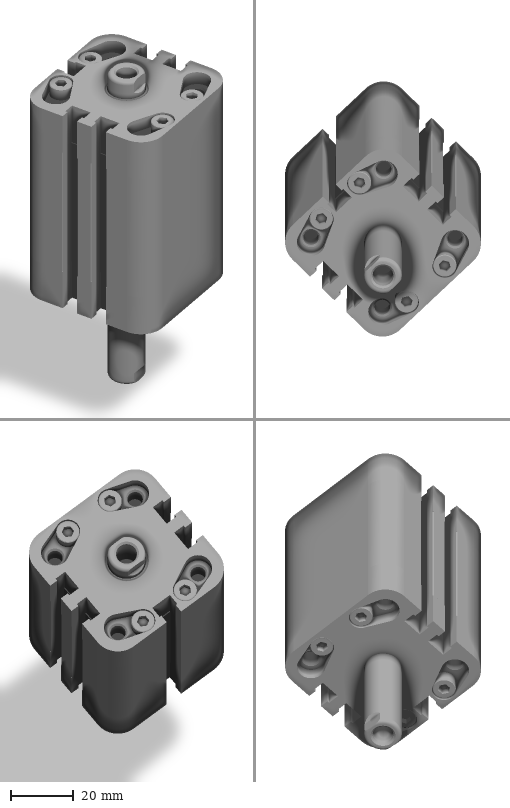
import cadquery as cq
import math

TOTAL_LENGTH = 117.0
SIDE = 49.0
CORNER_RADIUS = 8.2

TOP_STUB = 6.4
CAP_HEIGHT = 14.2
BARREL_LENGTH = 45.7

SLOT_OFFSET = 5.5
SLOT_MOUTH = 5.5
SLOT_INNER = 7.1
SLOT_LIP = 2.8
CAP_SLOT_DEPTH = 6.7
BARREL_SLOT_DEPTH = 6.3
SIDE_SLOT_MOUTH = 5.8
MOUTH_CHAMFER = 0.29

ROD_DIAMETER = 12.0
ROD_EDGE_ROUND = 1.3
ROD_HOLE_DIAMETER = 6.7
ROD_HOLE_RIM = 8.0
ROD_HOLE_DEPTH = 14.0
FLATS_WIDTH = 10.1
FLATS_LENGTH = 4.3

WIPER_INNER_DIAMETER = 12.5
WIPER_OUTER_DIAMETER = 13.7
WIPER_LIP_CHAMFER = 0.29
WIPER_SEAT_RIM = 14.3
WIPER_SEAT_DEPTH = 2.3

MOUNT_OFFSET = 16.3
MOUNT_DIAMETER = 4.9
MOUNT_RIM = 6.1
MOUNT_DEPTH = 7.0
POCKET_DIAMETER = 9.0
POCKET_DEPTH = 4.6
SCREW_X = 19.4
SCREW_Y = 8.5
SCREW_SEAT_DIAMETER = 7.8
SCREW_HEAD_DIAMETER = 7.5
SCREW_HEAD_HEIGHT = 4.1
SCREW_HEAD_CHAMFER = 0.2
HEX_CORNERS = 4.0
HEX_DEPTH = 2.3
FRONT_SOCKET_TURN = 30.0

ROD_TOP = TOTAL_LENGTH
CAP_TOP = ROD_TOP - TOP_STUB
BARREL_TOP = CAP_TOP - CAP_HEIGHT
BARREL_BOTTOM = BARREL_TOP - BARREL_LENGTH
HALF_SIDE = SIDE / 2
CORNER_SIGNS = [(sx, sy) for sx in (-1, 1) for sy in (-1, 1)]


def slot_cutter(mouth, depth, height, chamfer=0.0):
    """T-slot opening toward -Y at y = -HALF_SIDE, running up from z = 0."""
    cutter = cq.Workplane("XY").box(mouth, SLOT_LIP, height, centered=(True, False, False))
    chamber = (
        cq.Workplane("XY")
        .box(SLOT_INNER, depth - SLOT_LIP, height, centered=(True, False, False))
        .translate((0, SLOT_LIP, 0))
    )
    cutter = cutter.union(chamber)
    if chamfer:
        half = mouth / 2
        flare = (
            cq.Workplane("XY")
            .polyline([(-half - chamfer, 0), (half + chamfer, 0), (half, chamfer), (-half, chamfer)])
            .close()
            .extrude(height)
        )
        cutter = cutter.union(flare)
    return cutter.translate((0, -HALF_SIDE, 0))


def slotted_block(height, depth, chamfer=0.0):
    """Rounded square block with its five T-slots, standing on z = 0."""
    block = cq.Workplane("XY").box(SIDE, SIDE, height, centered=(True, True, False))
    block = block.edges("|Z").fillet(CORNER_RADIUS)
    paired_slot = slot_cutter(SLOT_MOUTH, depth, height, chamfer)
    for x in (-SLOT_OFFSET, SLOT_OFFSET):
        front_slot = paired_slot.translate((x, 0, 0))
        block = block.cut(front_slot).cut(front_slot.mirror("XZ"))
    side_slot = slot_cutter(SIDE_SLOT_MOUTH, depth, height)
    return block.cut(side_slot.rotate((0, 0, 0), (0, 0, 1), -90))


def make_barrel():
    barrel = slotted_block(BARREL_LENGTH, BARREL_SLOT_DEPTH, MOUTH_CHAMFER)
    passage = cq.Workplane("XY").circle(ROD_DIAMETER / 2).extrude(BARREL_LENGTH)
    return barrel.cut(passage).translate((0, 0, BARREL_BOTTOM))


def cone(small_diameter, large_diameter, z_top):
    """45-degree countersink widening upward to z_top."""
    height = (large_diameter - small_diameter) / 2
    return cq.Workplane(
        cq.Solid.makeCone(small_diameter / 2, large_diameter / 2, height, cq.Vector(0, 0, z_top - height))
    )


def corner_pocket_cutter():
    """Pocket with mounting hole and screw seat, in the +X +Y corner."""
    floor = CAP_HEIGHT - POCKET_DEPTH
    mount_radius = POCKET_DIAMETER / 2
    screw_radius = SCREW_SEAT_DIAMETER / 2
    span = math.hypot(SCREW_X - MOUNT_OFFSET, SCREW_Y - MOUNT_OFFSET)
    direction = math.atan2(SCREW_Y - MOUNT_OFFSET, SCREW_X - MOUNT_OFFSET)
    tangent_turn = math.acos((mount_radius - screw_radius) / span)

    def on_circle(x, y, radius, turn):
        return (x + radius * math.cos(direction + turn), y + radius * math.sin(direction + turn))

    def on_mount_end(turn):
        return on_circle(MOUNT_OFFSET, MOUNT_OFFSET, mount_radius, turn)

    def on_screw_end(turn):
        return on_circle(SCREW_X, SCREW_Y, screw_radius, turn)

    pocket = (
        cq.Workplane("XY")
        .moveTo(*on_screw_end(-tangent_turn))
        .threePointArc(on_screw_end(0), on_screw_end(tangent_turn))
        .lineTo(*on_mount_end(tangent_turn))
        .threePointArc(on_mount_end(math.pi), on_mount_end(-tangent_turn))
        .close()
        .extrude(POCKET_DEPTH)
        .translate((0, 0, floor))
    )
    hole = cq.Workplane("XY").circle(MOUNT_DIAMETER / 2).extrude(MOUNT_DEPTH)
    hole = hole.translate((0, 0, floor - MOUNT_DEPTH)).union(cone(MOUNT_DIAMETER, MOUNT_RIM, floor))
    return pocket.union(hole.translate((MOUNT_OFFSET, MOUNT_OFFSET, 0)))


def screw_head(socket_turn):
    """Socket screw head on the pocket floor, in the +X +Y corner."""
    head = (
        cq.Workplane("XY")
        .circle(SCREW_HEAD_DIAMETER / 2)
        .extrude(SCREW_HEAD_HEIGHT)
        .faces(">Z")
        .chamfer(SCREW_HEAD_CHAMFER)
        .faces(">Z")
        .workplane()
        .polygon(6, HEX_CORNERS)
        .cutBlind(-HEX_DEPTH)
    )
    head = head.rotate((0, 0, 0), (0, 0, 1), socket_turn)
    return head.translate((SCREW_X, SCREW_Y, CAP_HEIGHT - POCKET_DEPTH))


def in_corner(shape, sx, sy):
    """Mirror a +X +Y corner shape into the corner with the given signs."""
    if sx < 0:
        shape = shape.mirror("YZ")
    if sy < 0:
        shape = shape.mirror("XZ")
    return shape


def wiper_seat_cutter():
    """Round seat with a countersunk rim in the outer face of a cap."""
    seat = (
        cq.Workplane("XY")
        .circle(WIPER_OUTER_DIAMETER / 2)
        .extrude(WIPER_SEAT_DEPTH)
        .translate((0, 0, CAP_HEIGHT - WIPER_SEAT_DEPTH))
    )
    return seat.union(cone(WIPER_OUTER_DIAMETER, WIPER_SEAT_RIM, CAP_HEIGHT))


def make_cap():
    """End cap with its screw heads, standing on z = 0 with its outer face up."""
    cap = slotted_block(CAP_HEIGHT, CAP_SLOT_DEPTH)
    passage = cq.Workplane("XY").circle(ROD_DIAMETER / 2).extrude(CAP_HEIGHT)
    cap = cap.cut(passage)
    for sx, sy in CORNER_SIGNS:
        cap = cap.cut(in_corner(corner_pocket_cutter(), sx, sy))
        socket_turn = 0 if sy > 0 else FRONT_SOCKET_TURN
        cap = cap.union(in_corner(screw_head(socket_turn), sx, sy))
    return cap


def rod_end_cutter():
    """Wrench flats and threaded hole of a rod end whose face is at z = 0, rod below."""
    half = FLATS_WIDTH / 2
    radius = ROD_DIAMETER / 2
    flat = (
        cq.Workplane("XZ")
        .polyline([
            (half, 0),
            (half, -FLATS_LENGTH),
            (radius, -FLATS_LENGTH - (radius - half)),
            (radius, 0),
        ])
        .close()
        .extrude(radius, both=True)
    )
    hole = cq.Workplane("XY").circle(ROD_HOLE_DIAMETER / 2).extrude(-ROD_HOLE_DEPTH)
    hole = hole.union(cone(ROD_HOLE_DIAMETER, ROD_HOLE_RIM, 0))
    return flat.union(flat.mirror("YZ")).union(hole)


def make_rod():
    rod = cq.Workplane("XY").circle(ROD_DIAMETER / 2).extrude(TOTAL_LENGTH)
    rod = rod.edges().fillet(ROD_EDGE_ROUND)
    end = rod_end_cutter()
    return rod.cut(end.translate((0, 0, ROD_TOP))).cut(end.mirror("XY"))


def make_wiper_ring():
    """Ring standing on the floor of the upper cap's seat."""
    return (
        cq.Workplane("XY")
        .circle(WIPER_OUTER_DIAMETER / 2)
        .circle(WIPER_INNER_DIAMETER / 2)
        .extrude(WIPER_SEAT_DEPTH)
        .faces(">Z")
        .edges(cq.selectors.RadiusNthSelector(-1))
        .chamfer(WIPER_LIP_CHAMFER)
        .translate((0, 0, CAP_TOP - WIPER_SEAT_DEPTH))
    )


barrel = make_barrel()
upper_cap = make_cap().cut(wiper_seat_cutter()).translate((0, 0, BARREL_TOP))
lower_cap = make_cap().mirror("XY").translate((0, 0, BARREL_BOTTOM))
rod = make_rod()
wiper_ring = make_wiper_ring()

result = cq.Compound.makeCompound([
    barrel.val(),
    upper_cap.val(),
    lower_cap.val(),
    rod.val(),
    wiper_ring.val(),
])